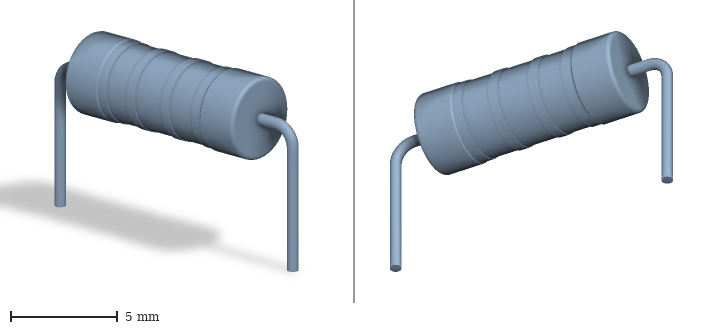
import cadquery as cq


span = 15.06
lead_diameter = 0.55
bend_radius = 1.0
lead_drop = 7.0
lead_radius = lead_diameter / 2
lead_x = span / 2 - lead_radius
bend_start_x = lead_x - bend_radius

body_length = 10.5
cap_length = 2.1
cap_radius = 2.0
cap_outer_fillet = 0.2
cap_inner_chamfer = 0.09
core_radius = 1.9

band_width = 0.5
band_height = 0.053
band_radius = core_radius + band_height
outer_band_x = 2.9
inner_left_band_x = -1.15
inner_right_band_x = 1.0
band_centres = [-outer_band_x, inner_left_band_x, inner_right_band_x, outer_band_x]


def cylinder_along_x(center_x, length, radius):
    start = cq.Workplane("YZ", origin=(center_x - length / 2, 0, 0))
    return start.circle(radius).extrude(length)


def end_cap(side):
    """Cap on the +X (side = 1) or -X (side = -1) end, rounded outside and chamfered inside."""
    cap = cylinder_along_x(side * (body_length - cap_length) / 2, cap_length, cap_radius)
    outer_face, inner_face = (">X", "<X") if side > 0 else ("<X", ">X")
    cap = cap.faces(outer_face).edges().fillet(cap_outer_fillet)
    return cap.faces(inner_face).edges().chamfer(cap_inner_chamfer)


def bent_leads():
    """One wire running through the body, bent down at both ends."""
    bend_offset = bend_radius * 0.5 ** 0.5
    bend_mid_x = bend_start_x + bend_offset
    bend_mid_z = bend_offset - bend_radius
    path = (
        cq.Workplane("XZ")
        .moveTo(-lead_x, -lead_drop)
        .lineTo(-lead_x, -bend_radius)
        .threePointArc((-bend_mid_x, bend_mid_z), (-bend_start_x, 0))
        .lineTo(bend_start_x, 0)
        .threePointArc((bend_mid_x, bend_mid_z), (lead_x, -bend_radius))
        .lineTo(lead_x, -lead_drop)
    )
    tip = cq.Workplane("XY", origin=(-lead_x, 0, -lead_drop))
    return tip.circle(lead_radius).sweep(path)


result = cylinder_along_x(0, body_length - cap_length, core_radius)
for side in (-1, 1):
    result = result.union(end_cap(side))
for band_x in band_centres:
    result = result.union(cylinder_along_x(band_x, band_width, band_radius))
result = result.union(bent_leads())